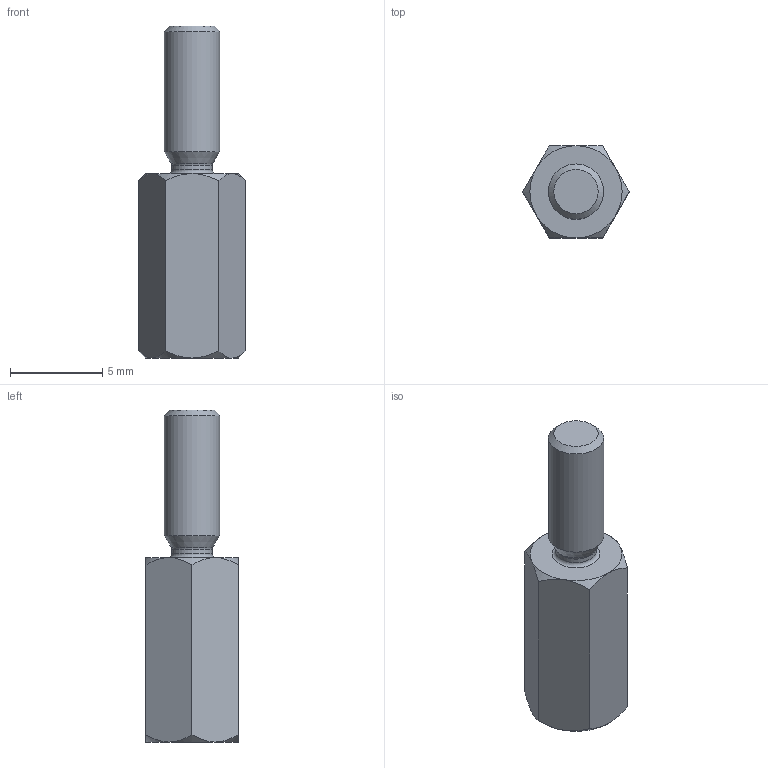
import cadquery as cq
import math

across_flats = 5.0
body_height = 10.0
corner_chamfer_angle = 45.0

overall_height = 18.0
stud_diameter = 3.0
tip_chamfer = 0.3

neck_diameter = 2.2
neck_fillet = 0.2
runout_top = 1.19
runout_angle = 30.0

across_corners = across_flats / math.cos(math.radians(30))


def revolve_profile(profile):
    """Turn a closed XZ profile around the Z axis."""
    return profile.close().revolve(360, (0, 0, 0), (0, 1, 0))


def make_body():
    """Hexagonal prism with its corners turned down by a cone at both ends."""
    prism = cq.Workplane("XY").polygon(6, across_corners).extrude(body_height)

    flat_radius = across_flats / 2
    corner_radius = across_corners / 2
    chamfer_height = (corner_radius - flat_radius) * math.tan(math.radians(corner_chamfer_angle))
    turned_envelope = revolve_profile(
        cq.Workplane("XZ")
        .lineTo(flat_radius, 0)
        .lineTo(corner_radius, chamfer_height)
        .lineTo(corner_radius, body_height - chamfer_height)
        .lineTo(flat_radius, body_height)
        .lineTo(0, body_height)
    )
    return prism.intersect(turned_envelope)


def make_stud():
    """Neck, runout cone, plain shank and chamfered tip as one turned profile."""
    stud_radius = stud_diameter / 2
    neck_radius = neck_diameter / 2
    tip_radius = stud_radius - tip_chamfer
    angle = math.radians(runout_angle)

    cone_radius = neck_radius + neck_fillet * (1 - math.cos(angle))
    cone_top = body_height + runout_top
    cone_bottom = cone_top - (stud_radius - cone_radius) / math.tan(angle)
    neck_top = cone_bottom - neck_fillet * math.sin(angle)

    return revolve_profile(
        cq.Workplane("XZ")
        .moveTo(0, body_height)
        .lineTo(neck_radius + neck_fillet, body_height)
        .radiusArc((neck_radius, body_height + neck_fillet), neck_fillet)
        .lineTo(neck_radius, neck_top)
        .radiusArc((cone_radius, cone_bottom), neck_fillet)
        .lineTo(stud_radius, cone_top)
        .lineTo(stud_radius, overall_height - tip_chamfer)
        .lineTo(tip_radius, overall_height)
        .lineTo(0, overall_height)
    )


result = make_body().union(make_stud())